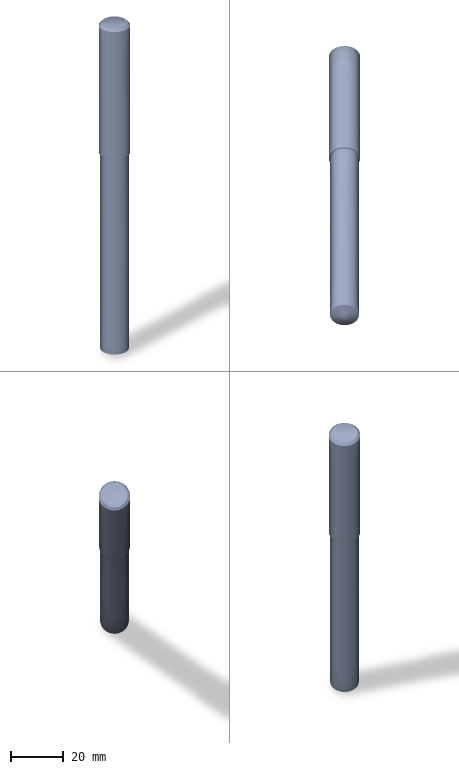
import cadquery as cq
import math

total_length = 142.0
shank_diameter = 12.0
drill_diameter = 11.0
point_angle = 140.0

shank_length = 55.7
cutting_length = 57.7
chamfer_height = 1.0
chamfer_width = 1.0

shank_radius = shank_diameter / 2
drill_radius = drill_diameter / 2
point_height = drill_radius / math.tan(math.radians(point_angle / 2))
shank_bottom = total_length - shank_length


def make_cutting_section():
    """Cylinder with a conical point, its tip at the origin."""
    return (
        cq.Workplane("XZ")
        .moveTo(0, 0)
        .lineTo(drill_radius, point_height)
        .lineTo(drill_radius, cutting_length)
        .lineTo(0, cutting_length)
        .close()
        .revolve(360, (0, 0), (0, 1))
    )


def make_shank():
    """Plain neck and thicker shank in one piece, chamfered at the top."""
    return (
        cq.Workplane("XZ")
        .moveTo(0, cutting_length)
        .lineTo(drill_radius, cutting_length)
        .lineTo(drill_radius, shank_bottom)
        .lineTo(shank_radius, shank_bottom)
        .lineTo(shank_radius, total_length - chamfer_height)
        .lineTo(shank_radius - chamfer_width, total_length)
        .lineTo(0, total_length)
        .close()
        .revolve(360, (0, 0), (0, 1))
    )


cutting_section = make_cutting_section()
shank = make_shank()

result = cq.Compound.makeCompound([cutting_section.val(), shank.val()])